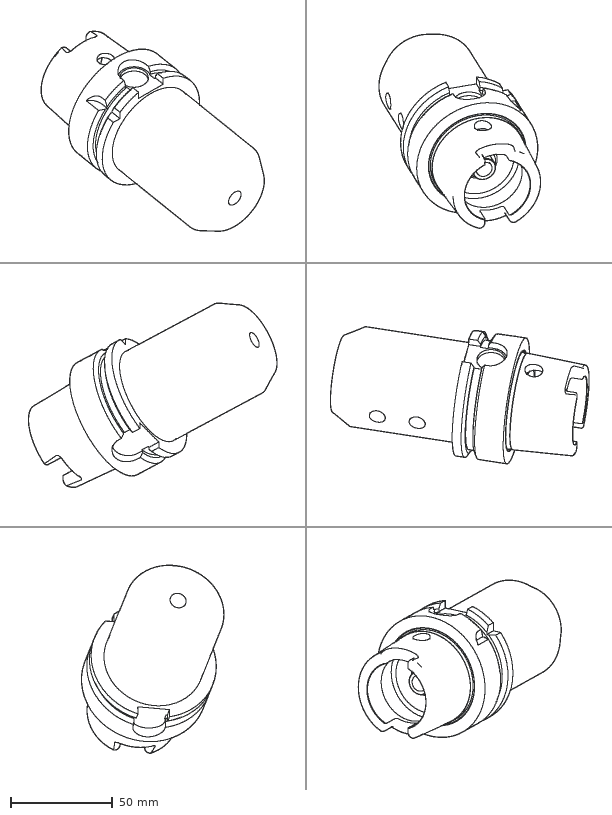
import cadquery as cq
import math

LENGTH = 122.0

TAPER_GAUGE_X = 25.6
TAPER_GAUGE_RADIUS = 48.0 / 2
TAPER_SLOPE = 1 / 20
MOUTH_ROUND = 1.0
NECK_START = 30.1
NECK_END = 31.4
NECK_DEPTH = 0.2

FLANGE_START = 32.1
FLANGE_END = 57.8
FLANGE_RADIUS = 63.0 / 2
FACE_RELIEF_RADIUS = 25.4
FACE_RELIEF_DEPTH = 0.4
GROOVE_RADIUS = 27.5
GROOVE_SHOULDER_RADIUS = 29.0
GROOVE_START = 48.0
GROOVE_END = 51.8
GROOVE_FLARE = 1.5

BODY_RADIUS = 50.0 / 2
NOSE_LENGTH = 10.0
NOSE_ANGLE = 30.0
NOSE_ROUND = 0.9
SHOULDER_ROUND = 0.6

BORE_RADIUS = 34.0 / 2
BORE_MOUTH_RADIUS = 34.5 / 2
BORE_END = 12.8
CHAMBER_RADIUS = 40.0 / 2
CHAMBER_END = 26.8
BACK_BORE_RADIUS = 34.5 / 2
BACK_BORE_END = 33.0
BACK_BORE_ROUND = 1.5

NUT_RADIUS = 18.0 / 2
NUT_LENGTH = 6.1
NUT_CHAMFER = 1.2
TUBE_RADIUS = 12.0 / 2
TUBE_TIP_X = 20.9
TUBE_TIP_CHAMFER = 0.3
THROUGH_RADIUS = 8.0 / 2

SLOT_HALF_WIDTH = 6.2
SLOT_LAND_HEIGHT = 20.7
SLOT_FLARE_RADIUS = 2.8
SLOT_FLOOR_ROUND = 1.5
TOP_SLOT_DEPTH = 6.0
BOTTOM_SLOT_DEPTH = 10.0

WRENCH_HOLE_X = 23.3
WRENCH_HOLE_DIAMETER = 8.4
WRENCH_HOLE_TILT = 15.0

KEYWAY_WIDTH = 15.9
KEYWAY_CENTER_X = 44.9
KEYWAY_FLOOR = 26.5
CHIP_POCKET_DIAMETER = 14.0
CHIP_POCKET_DEPTH = 2.1
NOTCH_CENTER_X = 44.2
NOTCH_OFFSET = 20.0

SCREW_HOLE_DIAMETER = 8.0
SCREW_HOLE_DEPTH = 9.8
SCREW_HOLE_X = (76.9, 97.0)


def taper_radius(x):
    return TAPER_GAUGE_RADIUS + (x - TAPER_GAUGE_X) * TAPER_SLOPE


def revolve_about_x(points):
    return cq.Workplane("XY").polyline(points).close().revolve(360, (0, 0, 0), (1, 0, 0))


def make_outer_body():
    neck_radius = taper_radius(NECK_START) - NECK_DEPTH
    relief_floor = FLANGE_START + FACE_RELIEF_DEPTH
    nose_start = LENGTH - NOSE_LENGTH
    nose_radius = BODY_RADIUS - NOSE_LENGTH * math.tan(math.radians(NOSE_ANGLE))
    profile = [
        (0, 0),
        (0, taper_radius(0)),
        (NECK_START, taper_radius(NECK_START)),
        (NECK_START + NECK_DEPTH, neck_radius),
        (NECK_END, neck_radius),
        (relief_floor, taper_radius(NECK_END)),
        (relief_floor, FACE_RELIEF_RADIUS - FACE_RELIEF_DEPTH),
        (FLANGE_START, FACE_RELIEF_RADIUS),
        (FLANGE_START, FLANGE_RADIUS),
        (GROOVE_START - GROOVE_FLARE, FLANGE_RADIUS),
        (GROOVE_START, GROOVE_SHOULDER_RADIUS),
        (GROOVE_START, GROOVE_RADIUS),
        (GROOVE_END, GROOVE_RADIUS),
        (GROOVE_END, GROOVE_SHOULDER_RADIUS),
        (GROOVE_END + GROOVE_FLARE, FLANGE_RADIUS),
        (FLANGE_END, FLANGE_RADIUS),
        (FLANGE_END, BODY_RADIUS),
        (nose_start, BODY_RADIUS),
        (LENGTH, nose_radius),
        (LENGTH, 0),
    ]
    body = revolve_about_x(profile)
    body = body.faces(">X").edges().fillet(NOSE_ROUND)
    shoulder_zone = cq.selectors.BoxSelector(
        (nose_start - SHOULDER_ROUND, -FLANGE_RADIUS, -FLANGE_RADIUS),
        (nose_start + SHOULDER_ROUND, FLANGE_RADIUS, FLANGE_RADIUS),
        boundingbox=True,
    )
    return body.edges(shoulder_zone).fillet(SHOULDER_ROUND)


def make_x_cylinder(radius, start, end):
    return cq.Workplane("YZ", origin=(start, 0, 0)).circle(radius).extrude(end - start)


def make_cavity():
    mouth_chamfer = BORE_MOUTH_RADIUS - BORE_RADIUS
    bore = revolve_about_x([
        (0, 0),
        (0, BORE_MOUTH_RADIUS),
        (mouth_chamfer, BORE_RADIUS),
        (BORE_END, BORE_RADIUS),
        (BORE_END, 0),
    ])
    chamber = make_x_cylinder(CHAMBER_RADIUS, BORE_END, CHAMBER_END)
    back_bore = make_x_cylinder(BACK_BORE_RADIUS, CHAMBER_END, BACK_BORE_END)
    back_bore = back_bore.faces(">X").edges().fillet(BACK_BORE_ROUND)
    return bore.union(chamber).union(back_bore)


def make_coolant_tube():
    nut = make_x_cylinder(NUT_RADIUS, BACK_BORE_END - NUT_LENGTH, BACK_BORE_END)
    nut = nut.faces("<X").edges().chamfer(NUT_CHAMFER)
    tube = make_x_cylinder(TUBE_RADIUS, TUBE_TIP_X, BACK_BORE_END)
    tube = tube.faces("<X").edges().chamfer(TUBE_TIP_CHAMFER)
    return nut.union(tube)


def make_drive_slot(depth):
    """Slot cutter on the +Z side: straight walls flaring through arcs into a wide flat land."""
    flare_y = SLOT_HALF_WIDTH + SLOT_FLARE_RADIUS
    flare_z = SLOT_LAND_HEIGHT - SLOT_FLARE_RADIUS
    arc_inset = SLOT_FLARE_RADIUS * math.sin(math.pi / 4)
    arc_mid = (flare_y - arc_inset, flare_z + arc_inset)
    far = FLANGE_RADIUS
    cutter = (
        cq.Workplane("YZ")
        .moveTo(-SLOT_HALF_WIDTH, 0)
        .lineTo(SLOT_HALF_WIDTH, 0)
        .lineTo(SLOT_HALF_WIDTH, flare_z)
        .threePointArc(arc_mid, (flare_y, SLOT_LAND_HEIGHT))
        .lineTo(far, SLOT_LAND_HEIGHT)
        .lineTo(far, far)
        .lineTo(-far, far)
        .lineTo(-far, SLOT_LAND_HEIGHT)
        .lineTo(-flare_y, SLOT_LAND_HEIGHT)
        .threePointArc((-arc_mid[0], arc_mid[1]), (-SLOT_HALF_WIDTH, flare_z))
        .close()
        .extrude(depth)
    )
    return cutter.faces(">X").edges().fillet(SLOT_FLOOR_ROUND)


def make_wrench_hole():
    """Hole through the top wall of the shank, its inner end leaning toward the mouth."""
    depth = taper_radius(WRENCH_HOLE_X) - BORE_RADIUS
    return (
        cq.Workplane("XY")
        .circle(WRENCH_HOLE_DIAMETER / 2)
        .extrude(2 * depth)
        .translate((0, 0, -depth))
        .rotate((0, 0, 0), (0, 1, 0), WRENCH_HOLE_TILT)
        .translate((WRENCH_HOLE_X, 0, taper_radius(WRENCH_HOLE_X)))
    )


def make_open_slot(center_x, center_y, floor_z):
    """Slot along X with a round blind end, open through the rear of the flange."""
    radius = KEYWAY_WIDTH / 2
    run = FLANGE_END - center_x
    height = FLANGE_RADIUS
    plane = cq.Workplane("XY", origin=(center_x, center_y, floor_z))
    straight = plane.center(run / 2, 0).rect(run, KEYWAY_WIDTH).extrude(height)
    return plane.circle(radius).extrude(height).union(straight)


def make_flange_cuts():
    keyway = make_open_slot(KEYWAY_CENTER_X, 0, KEYWAY_FLOOR)
    notch = make_open_slot(NOTCH_CENTER_X, -NOTCH_OFFSET - KEYWAY_WIDTH / 2, NOTCH_OFFSET)
    chip_pocket = (
        cq.Workplane("XY", origin=(KEYWAY_CENTER_X, 0, KEYWAY_FLOOR))
        .circle(CHIP_POCKET_DIAMETER / 2)
        .extrude(-CHIP_POCKET_DEPTH)
    )
    return [keyway, keyway.mirror("XY"), notch, chip_pocket]


def make_screw_holes():
    return (
        cq.Workplane("XZ", origin=(0, BODY_RADIUS, 0))
        .pushPoints([(x, 0) for x in SCREW_HOLE_X])
        .circle(SCREW_HOLE_DIAMETER / 2)
        .extrude(SCREW_HOLE_DEPTH)
    )


result = make_outer_body().cut(make_drive_slot(TOP_SLOT_DEPTH))
result = result.cut(make_drive_slot(BOTTOM_SLOT_DEPTH).mirror("XY"))
result = result.faces("<X").edges().fillet(MOUTH_ROUND)
result = result.cut(make_cavity()).union(make_coolant_tube())
result = result.cut(make_x_cylinder(THROUGH_RADIUS, 0, LENGTH))
result = result.cut(make_wrench_hole())
for cutter in make_flange_cuts():
    result = result.cut(cutter)
result = result.cut(make_screw_holes())